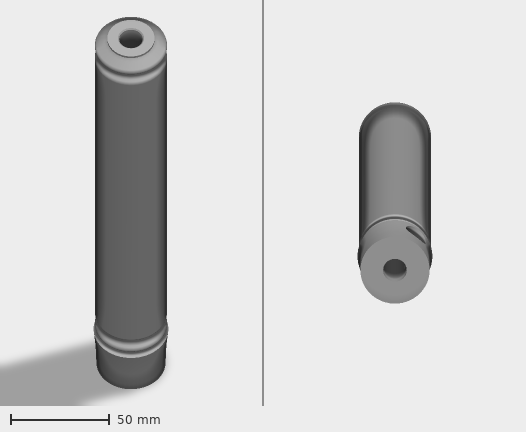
import cadquery as cq
import math

total_height = 259.7
body_radius = 36.5 / 2
neck_radius = 24.0 / 2
bore_radius = 12.0 / 2
bore_chamfer = 0.65

cup_height = 26.8
cup_top_radius = 38.0 / 2
cup_middle_radius = 18.0
cup_bottom_radius = 35.0 / 2
port_radius = 6.5
port_height = 18.2

flank_angle = math.radians(30)
rim_round = 1.75
rim_half_height = rim_round * math.cos(flank_angle)
flank_top_radius = body_radius - rim_round * (1 - math.sin(flank_angle))
flank_height = (flank_top_radius - neck_radius) * math.tan(flank_angle)
rim_to_neck = rim_half_height + flank_height

lower_bead_height = cup_height + rim_to_neck
upper_bead_height = 253.7
body_bottom = lower_bead_height + 2 * rim_to_neck
body_top = upper_bead_height - 2 * rim_to_neck


def add_ridge(outline, rim_bottom, rim_top):
    """Extend the outline from the neck up to the top of a rim with rounded edges."""
    half_sweep = (math.pi / 2 - flank_angle) / 2
    mid_radius = body_radius - rim_round * (1 - math.cos(half_sweep))
    mid_rise = rim_round * math.sin(half_sweep)
    outline = (
        outline.lineTo(neck_radius, rim_bottom - rim_to_neck)
        .lineTo(flank_top_radius, rim_bottom - rim_half_height)
        .threePointArc((mid_radius, rim_bottom - mid_rise), (body_radius, rim_bottom))
    )
    if rim_top > rim_bottom:
        outline = outline.lineTo(body_radius, rim_top)
    return outline.threePointArc(
        (mid_radius, rim_top + mid_rise), (flank_top_radius, rim_top + rim_half_height)
    )


def revolved_body():
    """Revolve the cup, beads and body around the through bore, chamfered at its upper mouth."""
    outline = (
        cq.Workplane("XZ")
        .moveTo(bore_radius, 0)
        .lineTo(cup_bottom_radius, 0)
        .threePointArc((cup_middle_radius, cup_height / 2), (cup_top_radius, cup_height))
    )
    ridges = [
        (lower_bead_height, lower_bead_height),
        (body_bottom, body_top),
        (upper_bead_height, upper_bead_height),
    ]
    for rim_bottom, rim_top in ridges:
        outline = add_ridge(outline, rim_bottom, rim_top)
    outline = (
        outline.lineTo(neck_radius, upper_bead_height + rim_to_neck)
        .lineTo(neck_radius, total_height)
        .lineTo(bore_radius + bore_chamfer, total_height)
        .lineTo(bore_radius, total_height - bore_chamfer)
        .close()
    )
    return outline.revolve(360, (0, 0, 0), (0, 1, 0))


def side_port():
    """Round port from the bore out through the +Y side of the cup."""
    return (
        cq.Workplane("XZ")
        .center(0, port_height)
        .circle(port_radius)
        .extrude(-cup_top_radius)
    )


result = revolved_body().cut(side_port())